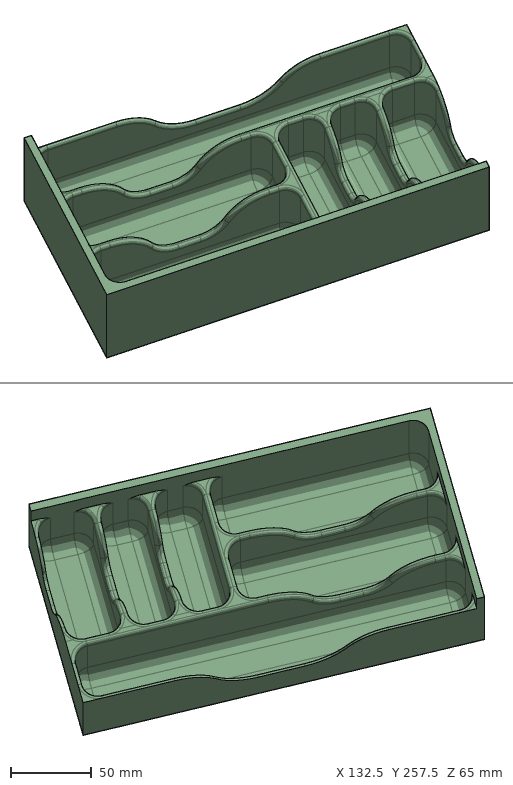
import cadquery as cq
import math

length = 257.5
width = 132.5
height = 65.0

thin_wall = 2.5
wall = 2 * thin_wall
floor = wall
tray_height = 50.0
rim_radius = 2.47
corner_radius = 10.0

spoon_width = 35.0
middle_width = 40.2
cross_depths = [35.0, 29.9, 30.0]

scoop_depth = 25.0
side_scoop = {"flat": 29.9, "base_radius": 35.0, "rim_radius": 35.0}
divider_scoop = {"flat": 15.0, "base_radius": 20.0, "rim_radius": 35.0}
cross_scoop = {"flat": 10.0, "base_radius": 10.0, "rim_radius": 30.0}
scoop_reach = thin_wall + corner_radius

spoon_left = thin_wall
spoon_right = spoon_left + spoon_width
middle_left = spoon_right + wall
middle_right = middle_left + middle_width
last_left = middle_right + wall
inner_right = width - wall
inner_front = wall
inner_back = length - thin_wall
cross_backs = [inner_back - sum(cross_depths[:i]) - i * wall for i in range(len(cross_depths))]
long_back = cross_backs[-1] - cross_depths[-1] - wall


def pocket(x_min, x_max, y_min, y_max):
    """Round-bottomed pocket cutter that reaches above the tray top."""
    return (
        cq.Workplane("XY", origin=((x_min + x_max) / 2, (y_min + y_max) / 2, floor))
        .rect(x_max - x_min, y_max - y_min)
        .extrude(tray_height)
        .edges("|Z")
        .fillet(corner_radius)
        .faces("<Z")
        .edges()
        .fillet(corner_radius)
    )


def scoop(plane, x, y, flat, base_radius, rim_radius):
    """Cutter for a dip in a wall centred at (x, y): a flat base with an S-curve up to each rim."""
    angle = math.acos(1 - scoop_depth / (base_radius + rim_radius))
    half_flat = flat / 2
    half_span = half_flat + (base_radius + rim_radius) * math.sin(angle)

    def base_point(side, slope):
        along = half_flat + base_radius * math.sin(slope)
        return (side * along, base_radius * (1 - math.cos(slope)) - scoop_depth)

    def rim_point(side, slope):
        along = half_span - rim_radius * math.sin(slope)
        return (side * along, rim_radius * (math.cos(slope) - 1))

    return (
        cq.Workplane(plane, origin=(x, y, tray_height))
        .moveTo(*rim_point(-1, 0))
        .threePointArc(rim_point(-1, angle / 2), rim_point(-1, angle))
        .threePointArc(base_point(-1, angle / 2), base_point(-1, 0))
        .lineTo(*base_point(1, 0))
        .threePointArc(base_point(1, angle / 2), base_point(1, angle))
        .threePointArc(rim_point(1, angle / 2), rim_point(1, 0))
        .lineTo(half_span, height - tray_height)
        .lineTo(-half_span, height - tray_height)
        .close()
        .extrude(scoop_reach, both=True)
    )


def rim_edges(body):
    """Pocket-side edges along the tops of the low walls, including the scoops."""
    outer_edges = body.faces("<X or >X or <Y or >Y").edges().vals()
    excluded = {edge.hashCode() for edge in outer_edges}
    least_upward_normal = 0.1
    borders = {}
    for face in body.faces().vals():
        above_pocket_floor = face.BoundingBox().zmin > floor + corner_radius
        faces_up = face.normalAt().z > least_upward_normal
        if above_pocket_floor and faces_up:
            for edge in face.Edges():
                borders.setdefault(edge.hashCode(), []).append(edge)
    return [found[0] for key, found in borders.items() if len(found) == 1 and key not in excluded]


tray = cq.Workplane("XY").box(width, length, tray_height, centered=False)
tray = tray.cut(pocket(spoon_left, spoon_right, inner_front, inner_back))
tray = tray.cut(pocket(middle_left, middle_right, inner_front, long_back))
tray = tray.cut(pocket(last_left, inner_right, inner_front, long_back))
for depth, back in zip(cross_depths, cross_backs):
    tray = tray.cut(pocket(middle_left, inner_right, back - depth, back))

spoon_middle = (inner_front + inner_back) / 2
long_middle = (inner_front + long_back) / 2
cross_middle = (middle_left + inner_right) / 2
tray = tray.cut(scoop("YZ", thin_wall / 2, spoon_middle, **side_scoop))
for wall_left in (spoon_right, middle_right):
    tray = tray.cut(scoop("YZ", wall_left + wall / 2, long_middle, **divider_scoop))
for back in cross_backs:
    tray = tray.cut(scoop("XZ", cross_middle, back + wall / 2, **cross_scoop))

tray = tray.newObject(rim_edges(tray)).fillet(rim_radius)

surround_bottom = tray_height - wall
surround = (
    cq.Workplane("XY", origin=(0, 0, surround_bottom))
    .lineTo(width, 0)
    .lineTo(width, length)
    .lineTo(inner_right, length)
    .lineTo(inner_right, inner_front + corner_radius)
    .radiusArc((inner_right - corner_radius, inner_front), corner_radius)
    .lineTo(0, inner_front)
    .close()
    .extrude(height - surround_bottom)
)

result = tray.union(surround)